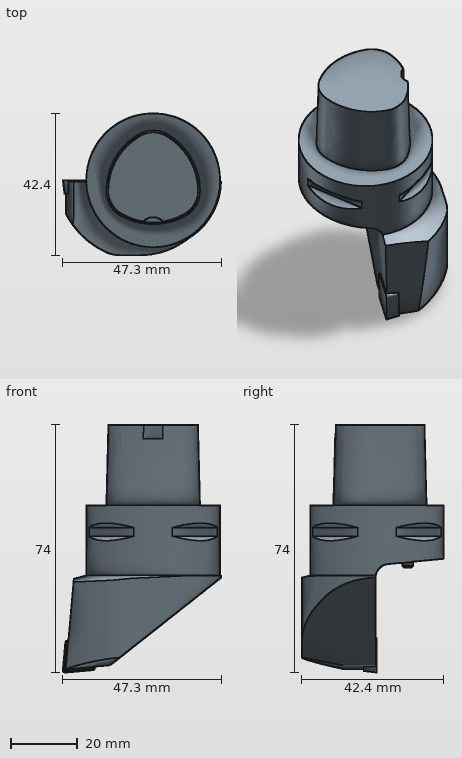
import cadquery as cq
import math


def tan_deg(angle):
    return math.tan(math.radians(angle))


def polar(radius, angle):
    a = math.radians(angle)
    return cq.Vector(radius * math.cos(a), radius * math.sin(a))



flange_radius = 20.0
flange_bottom = -20.95

shank_length = 24.0
shank_taper = math.degrees(math.atan(1 / 40))
lobe_reach = 14.87
side_reach = 13.15
lobe_radius = 8.5
lobe_angles = (90, 210, 330)

notch_radius = 3.7
notch_center_y = -14.7
notch_depth = 4.2

slot_angles = (45, 135, 225, 315)
slot_center_z = -7.95
slot_floor_height = 2.5
slot_floor_distance = 17.6
slot_wall_angle = 30.0

rake_face_y = -0.4
chip_roof_angle = 5.5
chip_roof_edge_z = -16.0
chip_corner_radius = 4.0

nozzle_radius = 3.3 / 2
nozzle_x = -6.0
nozzle_y = 9.2
nozzle_end_z = -18.6
nozzle_length = 5.0
nozzle_chamfer = 0.6

tail_radius = 20.29
tail_end_x = 11.5
flat_length = 2.53
belly_y = -22.42
belly_right_x = -4.05
belly_left_x = -9.95
shoulder_end = (-14.1, -21.5)
cheek_end = (-26.2, -9.75)

cutting_x = -27.0
tip_z = -50.0
lead_angle = 5.0
blade_shoulder_angle = 15.0
left_face_x = -23.8
left_face_z = -22.75
bottom_x = -13.7
bottom_z = -47.9
back_angle = 38.3
back_top_z = -21.6
back_corner_radius = 2.5
relief_start_y = -9.85
relief_angle = 9.5

insert_angle = 80.0
inscribed_radius = 9.525 / 2
insert_thickness = 3.97
insert_clearance = 7.0
insert_nose_radius = 0.8

margin = 5.0


def make_shank():
    half_pitch = 180 / len(lobe_angles)
    lobe_offset = lobe_reach - lobe_radius
    gap = lobe_reach - side_reach
    side_offset = (2 * gap * lobe_offset - gap ** 2) / (lobe_offset - 2 * gap)
    side_radius = side_reach + side_offset

    def seam(lobe_angle, side_angle):
        lobe_center = polar(lobe_offset, lobe_angle)
        side_center = polar(side_offset, side_angle + 180)
        return side_center + (lobe_center - side_center).normalized() * side_radius

    start = seam(lobe_angles[0], lobe_angles[0] - half_pitch)
    outline = cq.Workplane("XY").moveTo(start.x, start.y)
    for angle in lobe_angles:
        side_angle = angle + half_pitch
        lobe_finish = seam(angle, side_angle)
        side_finish = seam(side_angle + half_pitch, side_angle)
        outline = outline.threePointArc(polar(lobe_reach, angle), lobe_finish)
        outline = outline.threePointArc(polar(side_reach, side_angle), side_finish)
    shank = outline.close().extrude(shank_length, taper=shank_taper)

    notch = (
        cq.Workplane("XY", origin=(0, notch_center_y, shank_length - notch_depth))
        .circle(notch_radius)
        .extrude(notch_depth)
    )
    return shank.cut(notch)


def make_gripper_slot(angle):
    depth = flange_radius + margin - slot_floor_distance
    half_floor = slot_floor_height / 2
    half_mouth = half_floor + depth * tan_deg(slot_wall_angle)
    return (
        cq.Workplane("XZ")
        .moveTo(slot_floor_distance, slot_center_z - half_floor)
        .lineTo(slot_floor_distance + depth, slot_center_z - half_mouth)
        .lineTo(slot_floor_distance + depth, slot_center_z + half_mouth)
        .lineTo(slot_floor_distance, slot_center_z + half_floor)
        .close()
        .extrude(flange_radius, both=True)
        .rotate((0, 0, 0), (0, 0, 1), angle)
    )


def make_chip_space():
    far_y = flange_radius + margin
    low_z = tip_z - margin

    def roof_z(y):
        return chip_roof_edge_z - (flange_radius - y) * tan_deg(chip_roof_angle)

    return (
        cq.Workplane("YZ")
        .moveTo(rake_face_y, low_z)
        .lineTo(rake_face_y, roof_z(rake_face_y))
        .lineTo(far_y, roof_z(far_y))
        .lineTo(far_y, low_z)
        .close()
        .extrude(-cutting_x + margin, both=True)
        .edges("|X")
        .edges(cq.selectors.NearestToPointSelector((0, rake_face_y, roof_z(rake_face_y))))
        .fillet(chip_corner_radius)
    )


def make_blade_plan():
    tail_end_angle = -math.degrees(math.acos(tail_end_x / tail_radius))
    tail_start_x = math.sqrt(tail_radius ** 2 - rake_face_y ** 2)
    tail_end = polar(tail_radius, tail_end_angle)
    flat_drop = flat_length * tan_deg(90 + tail_end_angle)
    outer_x = cutting_x - margin
    return (
        cq.Workplane("XY", origin=(0, 0, tip_z - margin))
        .moveTo(tail_start_x, rake_face_y)
        .threePointArc(polar(tail_radius, tail_end_angle / 2), tail_end)
        .lineTo(tail_end.x - flat_length, tail_end.y - flat_drop)
        .tangentArcPoint((belly_right_x, belly_y), relative=False)
        .lineTo(belly_left_x, belly_y)
        .tangentArcPoint(shoulder_end, relative=False)
        .tangentArcPoint(cheek_end, relative=False)
        .lineTo(outer_x, cheek_end[1])
        .lineTo(outer_x, rake_face_y)
        .close()
        .extrude(flange_bottom - tip_z + margin)
    )


def make_blade_side():
    lead = tan_deg(lead_angle)
    back = tan_deg(back_angle)

    def left_x(z):
        return left_face_x + (z - left_face_z) * lead

    def bottom_at(x):
        return bottom_z + (x - bottom_x) * lead

    left_low_z = (bottom_at(left_face_x) - left_face_z * lead ** 2) / (1 - lead ** 2)
    back_low_x = (back_top_z - tail_radius * back - bottom_at(0)) / (lead - back)
    back_low_z = bottom_at(back_low_x)
    prism = (
        cq.Workplane("XZ")
        .moveTo(left_x(flange_bottom), flange_bottom)
        .lineTo(left_x(left_low_z), left_low_z)
        .lineTo(back_low_x, back_low_z)
        .lineTo(tail_radius + margin, back_top_z + margin * back)
        .lineTo(tail_radius + margin, flange_bottom + margin)
        .lineTo(left_x(flange_bottom + margin), flange_bottom + margin)
        .close()
        .extrude(-belly_y + margin)
    )
    back_corner = cq.selectors.NearestToPointSelector((back_low_x, (belly_y - margin) / 2, back_low_z))
    return prism.edges("|Y").edges(back_corner).fillet(back_corner_radius)


def make_shoulder_cone():
    reach = -cutting_x + 2 * margin
    return (
        cq.Workplane("XZ")
        .moveTo(0, flange_bottom)
        .lineTo(flange_radius, flange_bottom)
        .lineTo(reach, flange_bottom - (reach - flange_radius) * tan_deg(blade_shoulder_angle))
        .lineTo(reach, tip_z - margin)
        .lineTo(0, tip_z - margin)
        .close()
        .revolve(360, (0, 0, 0), (0, 1, 0))
    )


def make_bottom_relief():
    reach = relief_start_y - belly_y + margin
    length = -cutting_x + tail_radius + 2 * margin
    return (
        cq.Workplane("YZ")
        .moveTo(relief_start_y, 0)
        .lineTo(relief_start_y - reach, reach * tan_deg(relief_angle))
        .lineTo(relief_start_y - reach, -margin)
        .lineTo(relief_start_y, -margin)
        .close()
        .extrude(length, both=True)
        .rotate((0, 0, 0), (0, 1, 0), -lead_angle)
        .translate((bottom_x, 0, bottom_z))
    )


def make_nozzle():
    return (
        cq.Workplane("XY", origin=(nozzle_x, nozzle_y, nozzle_end_z))
        .circle(nozzle_radius)
        .extrude(nozzle_length)
        .faces("<Z")
        .chamfer(nozzle_chamfer)
    )


def make_insert():
    nose_x = cutting_x + insert_nose_radius
    nose_z = tip_z + insert_nose_radius
    side = 2 * (inscribed_radius - insert_nose_radius) / math.sin(math.radians(insert_angle))
    along_bottom = polar(side, lead_angle)
    along_left = polar(side, lead_angle + insert_angle)
    corner = cq.Vector(nose_x, nose_z)
    return (
        cq.Workplane("XZ")
        .polyline([
            corner,
            corner + along_bottom,
            corner + along_bottom + along_left,
            corner + along_left,
        ])
        .close()
        .offset2D(insert_nose_radius)
        .extrude(insert_thickness, taper=insert_clearance)
    )


def make_holder(insert):
    flange = cq.Workplane("XY").circle(flange_radius).extrude(flange_bottom)
    for angle in slot_angles:
        flange = flange.cut(make_gripper_slot(angle))

    blade = make_blade_plan().intersect(make_blade_side()).intersect(make_shoulder_cone())
    blade = blade.cut(make_bottom_relief())

    holder = flange.union(blade).cut(make_chip_space())
    holder = holder.union(make_shank()).union(make_nozzle())
    return holder.cut(insert)


insert = make_insert()
holder = make_holder(insert)

result = cq.Compound.makeCompound([holder.solids().val(), insert.val()])